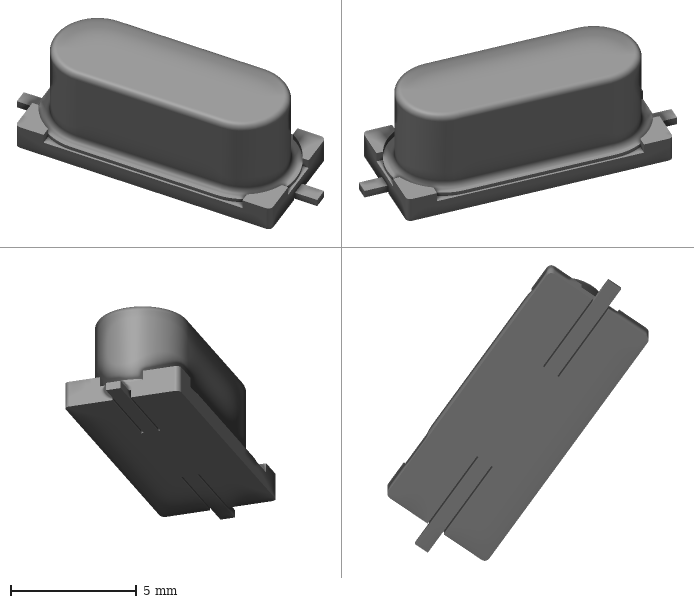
import cadquery as cq

OVERALL_LENGTH = 13.4
OVERALL_HEIGHT = 4.31

BASE_LENGTH = 11.42
BASE_WIDTH = 4.9
BASE_HEIGHT = 1.09
BASE_CORNER_RADIUS = 0.21
SEAT_HEIGHT = 0.68
LONG_SIDE_OPENING = 8.87
END_OPENING = 1.82

CAN_LENGTH = 10.32
CAN_WIDTH = 3.82
CAN_TOP_FILLET = 0.27
FLANGE_OVERHANG = 0.45
FLANGE_THICKNESS = 0.16
FLARE_RADIUS = BASE_HEIGHT - SEAT_HEIGHT - FLANGE_THICKNESS

LEAD_WIDTH = 0.62
LEAD_THICKNESS = 0.32
LEAD_PITCH = 4.88
LEAD_GROOVE_WIDTH = 0.79

LEAD_POST_INNER_X = (LEAD_PITCH - LEAD_THICKNESS) / 2
END_SIDES = (-1, 1)


def box_on(length, width, height, x=0.0, z=0.0):
    """Box centred on (x, 0) in plan, standing on height z."""
    return cq.Workplane("XY", origin=(x, 0, z)).rect(length, width).extrude(height)


def can_outline_prism(offset, height):
    """Prism on the seat whose round-ended outline lies `offset` outside the can wall."""
    return (
        cq.Workplane("XY", origin=(0, 0, SEAT_HEIGHT))
        .slot2D(CAN_LENGTH + 2 * offset, CAN_WIDTH + 2 * offset)
        .extrude(height)
    )


def lead_run(side, width):
    """Flat bar along the bottom, from the lead post to the tip of the lead."""
    length = OVERALL_LENGTH / 2 - LEAD_POST_INNER_X
    return box_on(length, width, LEAD_THICKNESS, x=side * (LEAD_POST_INNER_X + length / 2))


def lead_post(side):
    """Upright part of a lead, from the bottom to the underside of the can."""
    return box_on(LEAD_THICKNESS, LEAD_WIDTH, SEAT_HEIGHT, x=side * LEAD_PITCH / 2)


def make_base():
    base = box_on(BASE_LENGTH, BASE_WIDTH, BASE_HEIGHT).edges("|Z").fillet(BASE_CORNER_RADIUS)

    opening_depth = BASE_HEIGHT - SEAT_HEIGHT
    base = base.cut(can_outline_prism(FLANGE_OVERHANG, opening_depth))
    base = base.cut(box_on(LONG_SIDE_OPENING, BASE_WIDTH, opening_depth, z=SEAT_HEIGHT))
    base = base.cut(box_on(BASE_LENGTH, END_OPENING, opening_depth, z=SEAT_HEIGHT))

    for side in END_SIDES:
        base = base.cut(lead_run(side, LEAD_GROOVE_WIDTH))
        base = base.cut(lead_post(side))
    return base


def make_can_with_leads():
    wall = can_outline_prism(0, OVERALL_HEIGHT - SEAT_HEIGHT)
    wall = wall.faces(">Z").edges().fillet(CAN_TOP_FILLET)
    flange = can_outline_prism(FLANGE_OVERHANG, FLANGE_THICKNESS)
    can = wall.union(flange)
    flange_top_center = (0, 0, SEAT_HEIGHT + FLANGE_THICKNESS)
    flange_top = can.faces(cq.selectors.NearestToPointSelector(flange_top_center)).val()
    foot_edges = flange_top.innerWires()[0].Edges()
    can = can.newObject(foot_edges).fillet(FLARE_RADIUS)

    for side in END_SIDES:
        can = can.union(lead_post(side)).union(lead_run(side, LEAD_WIDTH))
    return can


base = make_base()
can_with_leads = make_can_with_leads()

result = cq.Compound.makeCompound([base.val(), can_with_leads.val()])